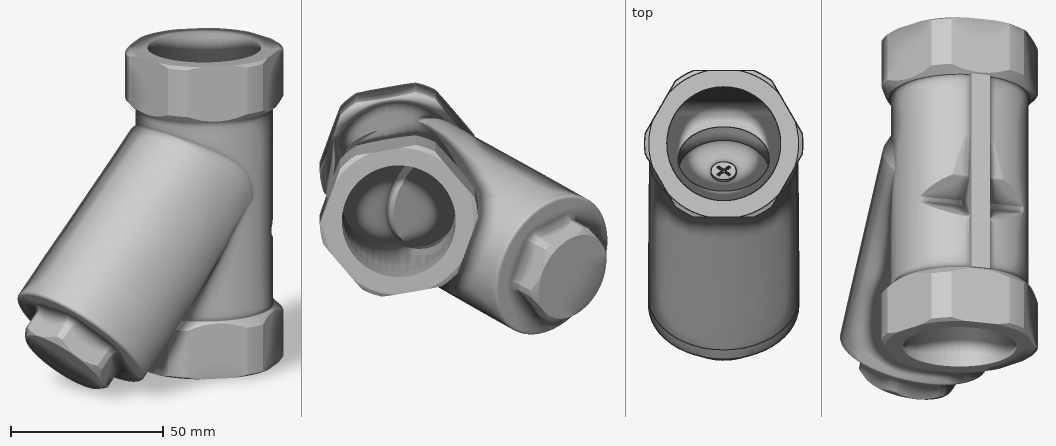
import cadquery as cq
import math


SIN45 = math.sin(math.radians(45))
OVERCUT = 5.3
CLEARANCE = 0.1

body_height = 106.1
run_radius = 22.5
bore_radius = 18.7

end_height = 19.3
end_flats = 48.0
end_corner_diameter = 52.0
end_corner_radius = end_corner_diameter / 2
end_face_radius = 24.6
end_face_chamfer = 0.9
end_shoulder_chamfer = 2.6

seat_y = -5.0
seat_z = 65.3
branch_root_radius = 24.3
branch_radius = 24.7
branch_draft_length = 52.6
branch_length = 63.9
root_cone_length = 10.7
root_cone_angle = 20.0

seat_hole_radius = 15.0
seat_thickness = 6.3

corner_y = 10.9
corner_radius = 3.0
back_wall_tilt = 17.5

relief_top_z = 70.4
relief_knee_y = 20.8
relief_knee_z = 52.0
relief_floor_y = 13.9
relief_floor_top_z = 45.9
relief_floor_bottom_z = 44.0
relief_bottom_z = 37.0
rib_thickness = 6.4
rib_fillet = 1.0

cap_flange_thickness = 4.8
cap_flange_fillet = 1.0
cap_plug_length = branch_length - branch_draft_length
cap_hex_flats = 30.0
cap_hex_height = 9.8
cap_corner_radius = 16.7
cap_face_radius = 14.8
cap_hex_fillet = 1.9

disc_radius = 17.1
disc_thickness = 3.2
disc_end = seat_thickness + disc_thickness
screw_head_radius = 4.2
screw_head_height = 0.9
screw_shank_radius = 2.1
cross_length = 5.5
cross_width = 0.9
cross_depth = 0.5


def branch_plane(distance):
    """Plane across the branch; its normal runs down the branch and its X is the global X."""
    origin = (0, seat_y - distance * SIN45, seat_z - distance * SIN45)
    return cq.Plane(origin=origin, xDir=(1, 0, 0), normal=(0, -1, -1))


def branch_cylinder(radius, start, end):
    return cq.Workplane(branch_plane(start)).circle(radius).extrude(end - start)


def revolved(plane, profile):
    """Turn a (radius, height) outline around the normal of the plane."""
    outline_plane = cq.Plane(origin=plane.origin, xDir=plane.xDir, normal=-plane.yDir)
    return cq.Workplane(outline_plane).polyline(profile).close().revolve(360, (0, 0, 0), (0, 1, 0))


def hexagon(plane, flats, height):
    """Hexagonal prism with corners on the X axis of the plane."""
    return cq.Workplane(plane).polygon(6, flats / math.cos(math.pi / 6)).extrude(height)


def hexagonal_end():
    """Hexagonal end, outer face at Z = 0 and shoulder towards +Z."""
    shoulder_radius = end_corner_radius - end_shoulder_chamfer
    turned = revolved(cq.Plane.XY(), [
        (0, 0),
        (end_face_radius, 0),
        (end_corner_radius, end_face_chamfer),
        (end_corner_radius, end_height - end_shoulder_chamfer),
        (shoulder_radius, end_height),
        (0, end_height),
    ])
    return hexagon(cq.Plane.XY(), end_flats, end_height).intersect(turned)


def relieved_run():
    """Solid run with the back relief, and the rib along its back blended in."""
    outside_y = run_radius + OVERCUT
    slope_top = (run_radius - relief_knee_y) / (relief_top_z - relief_knee_z)
    slope_bottom = (run_radius - relief_floor_y) / (relief_floor_bottom_z - relief_bottom_z)
    relief = (
        cq.Workplane("YZ")
        .polyline([
            (outside_y, relief_top_z + OVERCUT / slope_top),
            (relief_knee_y, relief_knee_z),
            (relief_floor_y, relief_floor_top_z),
            (relief_floor_y, relief_floor_bottom_z),
            (outside_y, relief_bottom_z - OVERCUT / slope_bottom),
        ])
        .close()
        .extrude(run_radius + OVERCUT, both=True)
    )
    rib_height = body_height - 2 * end_height
    run = cq.Workplane("XY").workplane(offset=end_height).circle(run_radius).extrude(rib_height)
    rib = (
        cq.Workplane("XY")
        .workplane(offset=end_height)
        .center(0, end_flats / 4)
        .rect(rib_thickness, end_flats / 2)
        .extrude(rib_height)
    )
    blended = run.cut(relief).union(rib)
    rib_root = cq.selectors.BoxSelector(
        (-rib_thickness, 0, end_height + CLEARANCE),
        (rib_thickness, end_flats / 2 - CLEARANCE, body_height - end_height - CLEARANCE),
    )
    return blended.edges(rib_root).fillet(rib_fillet)


def branch_outside():
    cone_end_radius = branch_root_radius - root_cone_length * math.tan(math.radians(root_cone_angle))
    return revolved(branch_plane(0), [
        (0, -root_cone_length),
        (cone_end_radius, -root_cone_length),
        (branch_root_radius, 0),
        (branch_radius, branch_draft_length),
        (branch_radius, branch_length),
        (0, branch_length),
    ])


def inlet_chamber():
    """Bore above the seat plane, ending at the seat and at the sloping back wall."""
    tilt = math.radians(back_wall_tilt)
    seat_tangent_y = corner_y - corner_radius * SIN45
    seat_tangent_z = seat_z + seat_y - seat_tangent_y
    corner_z = seat_tangent_z + corner_radius * SIN45
    wall_tangent_y = corner_y + corner_radius * math.cos(tilt)
    wall_tangent_z = corner_z + corner_radius * math.sin(tilt)
    front_y = -bore_radius - OVERCUT
    back_y = bore_radius + OVERCUT
    back_z = wall_tangent_z + (back_y - wall_tangent_y) / math.tan(tilt)
    profile = (
        cq.Workplane("YZ")
        .moveTo(front_y, body_height)
        .lineTo(front_y, seat_z + seat_y - front_y)
        .lineTo(seat_tangent_y, seat_tangent_z)
        .threePointArc((corner_y, corner_z - corner_radius), (wall_tangent_y, wall_tangent_z))
        .lineTo(back_y, back_z)
        .lineTo(back_y, body_height)
        .close()
        .extrude(bore_radius + OVERCUT, both=True)
    )
    return cq.Workplane("XY").circle(bore_radius).extrude(body_height).intersect(profile)


def outlet_chamber():
    """Bore below the seat wall, and the branch bore that opens into it."""
    below_seat_wall = branch_cylinder(body_height, seat_thickness, seat_thickness + body_height)
    outlet_bore = cq.Workplane("XY").circle(bore_radius).extrude(seat_z).intersect(below_seat_wall)
    return outlet_bore.union(branch_cylinder(bore_radius, seat_thickness, branch_length))


def make_housing():
    lower_end = hexagonal_end()
    upper_end = lower_end.mirror("XY").translate((0, 0, body_height))
    outside = relieved_run().union(branch_outside()).union(lower_end).union(upper_end)
    seat_hole = branch_cylinder(seat_hole_radius, 0, seat_thickness)
    return outside.cut(inlet_chamber()).cut(outlet_chamber()).cut(seat_hole)


def make_cap():
    flange_end = branch_length + cap_flange_thickness
    down_branch = branch_plane(0).zDir
    flange = (
        branch_cylinder(branch_radius, branch_length, flange_end)
        .faces(cq.selectors.DirectionMinMaxSelector(down_branch))
        .edges()
        .fillet(cap_flange_fillet)
    )
    head_chamfer = cap_corner_radius - cap_face_radius
    head_turned = revolved(branch_plane(flange_end), [
        (0, 0),
        (cap_corner_radius, 0),
        (cap_corner_radius, cap_hex_height - head_chamfer),
        (cap_face_radius, cap_hex_height),
        (0, cap_hex_height),
    ])
    head = hexagon(branch_plane(flange_end), cap_hex_flats, cap_hex_height).intersect(head_turned)
    cap = flange.union(head)

    head_root = cap.faces(cq.selectors.DirectionNthSelector(down_branch, -2)).val().innerWires()[0]
    filleted = cap.val().fillet(cap_hex_fillet, head_root.Edges())
    plug = branch_cylinder(bore_radius, branch_length - cap_plug_length, branch_length)
    return cq.Workplane(filleted).union(plug)


def make_disc():
    disc = branch_cylinder(disc_radius, seat_thickness, disc_end)
    return disc.cut(branch_cylinder(screw_shank_radius, seat_thickness, disc_end))


def make_screw():
    """Cross-recessed screw, head on the seat side of the disc."""
    head_top = seat_thickness - screw_head_height
    head = branch_cylinder(screw_head_radius, head_top, seat_thickness)
    screw = head.union(branch_cylinder(screw_shank_radius, seat_thickness, disc_end))
    for angle in (45, 135):
        slot = (
            cq.Workplane(branch_plane(head_top))
            .transformed(rotate=(0, 0, angle))
            .rect(cross_length, cross_width)
            .extrude(cross_depth)
        )
        screw = screw.cut(slot)
    return screw


housing = make_housing()
cap = make_cap()
disc = make_disc()
screw = make_screw()

result = cq.Compound.makeCompound([housing.val(), cap.val(), disc.val(), screw.val()])